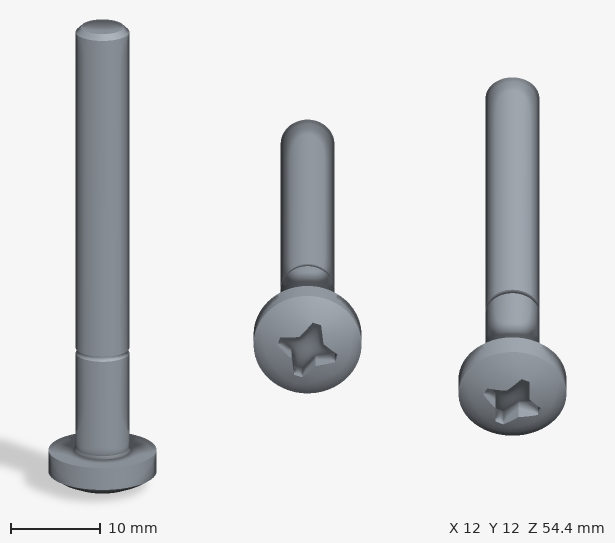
import cadquery as cq
import math

length = 54.4
shank_radius = 3.0
tip_chamfer = 0.6

head_radius = 12.0 / 2
head_top = 4.35
dome_radius = 10.15

neck_flare_width = 0.2
neck_flare_height = 0.3

thread_start = 16.4
groove_depth = 0.6

recess_inner_corner = 1.4
recess_wing_reach = 3.35
recess_wing_half_width = 0.5
recess_floor = 2.7

corner_radius = math.hypot(recess_inner_corner, recess_inner_corner)
dome_center = math.sqrt(dome_radius**2 - corner_radius**2)
dome_bottom = dome_center - dome_radius


def dome_height(radius):
    """Height of the dome surface at a distance from the screw axis."""
    return dome_center - math.sqrt(dome_radius**2 - radius**2)


def screw_body():
    """Revolve the half profile of the head, neck, groove and shank."""
    mid_radius = head_radius / 2
    return (
        cq.Workplane("XZ")
        .moveTo(0, dome_bottom)
        .threePointArc((mid_radius, dome_height(mid_radius)), (head_radius, dome_height(head_radius)))
        .lineTo(head_radius, head_top)
        .lineTo(shank_radius + neck_flare_width, head_top)
        .lineTo(shank_radius, head_top + neck_flare_height)
        .lineTo(shank_radius, thread_start - groove_depth)
        .lineTo(shank_radius - groove_depth, thread_start)
        .lineTo(shank_radius, thread_start)
        .lineTo(shank_radius, length - tip_chamfer)
        .lineTo(shank_radius - tip_chamfer, length)
        .lineTo(0, length)
        .close()
        .revolve(360, (0, 0, 0), (0, 1, 0))
    )


def cross_recess():
    """Four tapering wings that form the driver recess in the dome."""
    wing = [
        (recess_wing_reach, -recess_wing_half_width),
        (recess_wing_reach, recess_wing_half_width),
        (recess_inner_corner, recess_inner_corner),
    ]
    outline = []
    for _ in range(4):
        outline += wing
        wing = [(-y, x) for x, y in wing]
    return (
        cq.Workplane("XY")
        .workplane(offset=dome_bottom)
        .polyline(outline)
        .close()
        .extrude(recess_floor - dome_bottom)
    )


result = screw_body().cut(cross_recess())